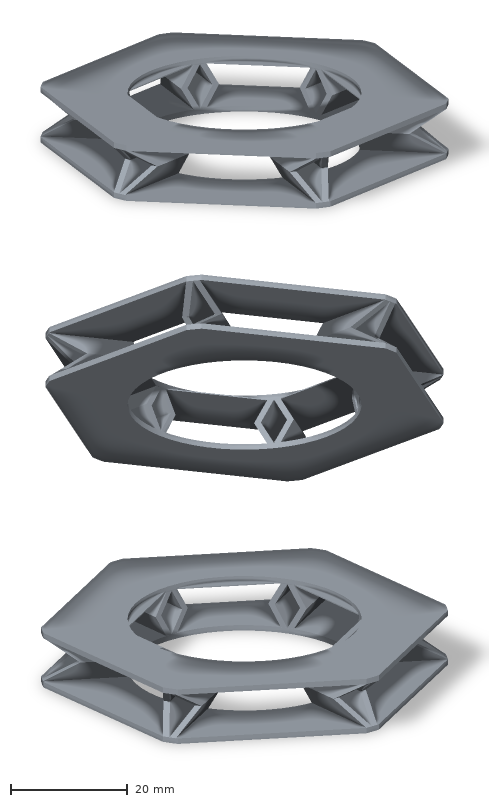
import cadquery as cq
import math

height = 10.0
corner_radius = 35.0
flat_distance = 30.97
hexagon_twist = 0.29
corner_count = 6
first_corner_angle = 90.0

plate_thickness = 1.0
bore_radius = 20.0
ledge_flat_distance = 17.95
ledge_thickness = 0.2

tube_wall = 1.04
tube_tip_angle = 60.0
notch_radius = 28.9

mid_height = height / 2
half_gap = mid_height - plate_thickness
half_tip_angle = math.radians(tube_tip_angle / 2)


def hexagonal_prism(distance_to_flat, z_bottom, thickness):
    """Hexagonal prism with two corners near the Y axis."""
    corner_diameter = 2 * distance_to_flat / math.cos(math.pi / corner_count)
    return (
        cq.Workplane("XY", origin=(0, 0, z_bottom))
        .polygon(corner_count, corner_diameter)
        .extrude(thickness)
        .rotate((0, 0, 0), (0, 0, 1), first_corner_angle + hexagon_twist)
    )


def disc(radius, z_bottom, thickness):
    """Round disc about the Z axis."""
    return cq.Workplane("XY", origin=(0, 0, z_bottom)).circle(radius).extrude(thickness)


def plate(z_bottom):
    """Hexagonal plate with its corners rounded about the axis and a round bore."""
    outline = hexagonal_prism(flat_distance, z_bottom, plate_thickness)
    outline = outline.intersect(disc(corner_radius, z_bottom, plate_thickness))
    return outline.cut(disc(bore_radius, z_bottom, plate_thickness))


def ledge():
    """Thin hexagonal lip inside the bore, at the underside of the top plate."""
    z_bottom = mid_height + half_gap
    lip = disc(bore_radius, z_bottom, ledge_thickness)
    return lip.cut(hexagonal_prism(ledge_flat_distance, z_bottom, ledge_thickness))


def diamond_bar(half_height):
    """Diamond-section bar along +X, from the bore to the corner radius."""
    half_width = half_height * math.tan(half_tip_angle)
    return (
        cq.Workplane("YZ", origin=(bore_radius, 0, mid_height))
        .polyline([(half_width, 0), (0, half_height), (-half_width, 0), (0, -half_height)])
        .close()
        .extrude(corner_radius - bore_radius)
    )


def tube():
    """Diamond tube along +X, trimmed to the gap and V-notched at its outer end."""
    inner_half_height = half_gap
    outer_half_height = inner_half_height + tube_wall / math.sin(half_tip_angle)
    walls = diamond_bar(outer_half_height).cut(diamond_bar(inner_half_height))
    side_profile = (
        cq.Workplane("XZ", origin=(0, 0, mid_height))
        .polyline([
            (bore_radius, -half_gap),
            (corner_radius, -half_gap),
            (notch_radius, 0),
            (corner_radius, half_gap),
            (bore_radius, half_gap),
        ])
        .close()
        .extrude(outer_half_height, both=True)
    )
    return walls.intersect(side_profile)


result = plate(0).union(plate(height - plate_thickness)).union(ledge())
corner_tube = tube()
for corner in range(corner_count):
    angle = first_corner_angle + corner * 360 / corner_count
    result = result.union(corner_tube.rotate((0, 0, 0), (0, 0, 1), angle))